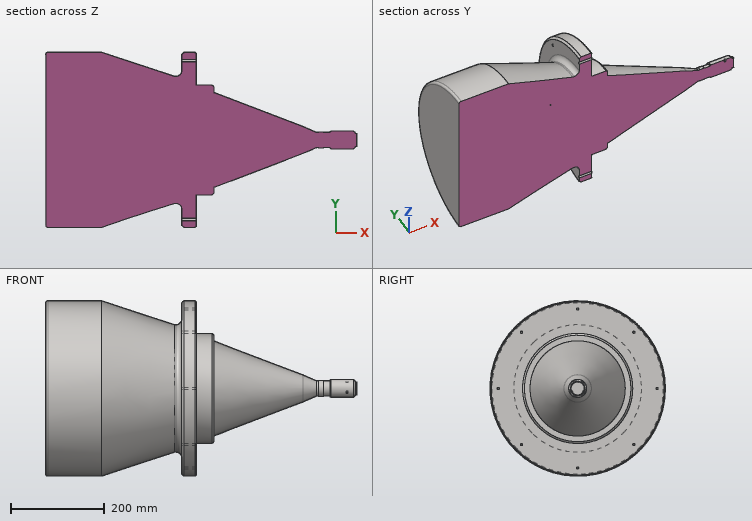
import cadquery as cq
import math

LENGTH = 666.5
DRUM_END = 120.0
TAPER_END = 276.0
NECK_END = 279.0
FLANGE_START = 291.0
FLANGE_END = 322.5
COLLAR_END = 360.5
CONE_BREAK = 550.5
CONE_END = 580.0
STEM_END = 608.5
TIP_START = 663.0

DRUM_RADIUS = 188.0
NECK_RADIUS = 136.5
COLLAR_RADIUS = 118.0
CONE_BASE_RADIUS = 102.0
CONE_BREAK_RADIUS = 29.0
STEM_RADIUS = 16.5
HEAD_RADIUS = 19.0
TIP_RADIUS = 14.0

DRUM_ROUND = 5.0
FLANGE_FRONT_CHAMFER = 4.5
FLANGE_BACK_CHAMFER = 2.5
COLLAR_CHAMFER = 4.0
HEAD_FRONT_CHAMFER = 2.0
HEAD_BACK_CHAMFER = 4.0

BAND_START = 584.5
BAND_END = 594.5
BAND_HEIGHT = 0.5

HOLE_COUNT = 8
HOLE_CIRCLE_RADIUS = 170.0
HOLE_DIAMETER = 4.5

HEAD_HOLE_COUNT = 3
HEAD_HOLE_X = 645.0
HEAD_HOLE_DIAMETER = 3.0
HEAD_HOLE_DEPTH = 6.5


def turned_body():
    """Solid of revolution about X, from the drum to the tip."""
    arc_factor = math.sqrt(0.5)
    drum_mid = DRUM_ROUND * (1 - arc_factor)
    fillet = FLANGE_START - NECK_END
    band_radius = STEM_RADIUS + BAND_HEIGHT
    return (
        cq.Workplane("XY")
        .lineTo(0, DRUM_RADIUS - DRUM_ROUND)
        .threePointArc((drum_mid, DRUM_RADIUS - drum_mid), (DRUM_ROUND, DRUM_RADIUS))
        .lineTo(DRUM_END, DRUM_RADIUS)
        .lineTo(TAPER_END, NECK_RADIUS)
        .lineTo(NECK_END, NECK_RADIUS)
        .threePointArc(
            (NECK_END + fillet * arc_factor, NECK_RADIUS + fillet * (1 - arc_factor)),
            (FLANGE_START, NECK_RADIUS + fillet),
        )
        .lineTo(FLANGE_START, DRUM_RADIUS - FLANGE_FRONT_CHAMFER)
        .lineTo(FLANGE_START + FLANGE_FRONT_CHAMFER, DRUM_RADIUS)
        .lineTo(FLANGE_END - FLANGE_BACK_CHAMFER, DRUM_RADIUS)
        .lineTo(FLANGE_END, DRUM_RADIUS - FLANGE_BACK_CHAMFER)
        .lineTo(FLANGE_END, COLLAR_RADIUS)
        .lineTo(COLLAR_END - COLLAR_CHAMFER, COLLAR_RADIUS)
        .lineTo(COLLAR_END, COLLAR_RADIUS - COLLAR_CHAMFER)
        .lineTo(COLLAR_END, CONE_BASE_RADIUS)
        .lineTo(CONE_BREAK, CONE_BREAK_RADIUS)
        .lineTo(CONE_END, STEM_RADIUS)
        .lineTo(BAND_START, STEM_RADIUS)
        .lineTo(BAND_START, band_radius)
        .lineTo(BAND_END, band_radius)
        .lineTo(BAND_END, STEM_RADIUS)
        .lineTo(STEM_END, STEM_RADIUS)
        .lineTo(STEM_END, HEAD_RADIUS - HEAD_FRONT_CHAMFER)
        .lineTo(STEM_END + HEAD_FRONT_CHAMFER, HEAD_RADIUS)
        .lineTo(TIP_START - HEAD_BACK_CHAMFER, HEAD_RADIUS)
        .lineTo(TIP_START, HEAD_RADIUS - HEAD_BACK_CHAMFER)
        .lineTo(TIP_START, TIP_RADIUS)
        .lineTo(LENGTH, TIP_RADIUS)
        .lineTo(LENGTH, 0)
        .close()
        .revolve(360, (0, 0, 0), (1, 0, 0))
    )


def flange_holes():
    """Ring of small through holes in the flange, one at the top."""
    return (
        cq.Workplane("YZ", origin=(FLANGE_START, 0, 0))
        .polarArray(HOLE_CIRCLE_RADIUS, 0, 360, HOLE_COUNT)
        .circle(HOLE_DIAMETER / 2)
        .extrude(FLANGE_END - FLANGE_START)
    )


def head_holes():
    """Blind radial holes evenly spaced round the head, one at the top."""
    hole = (
        cq.Workplane("XY", origin=(HEAD_HOLE_X, 0, HEAD_RADIUS - HEAD_HOLE_DEPTH))
        .circle(HEAD_HOLE_DIAMETER / 2)
        .extrude(2 * HEAD_HOLE_DEPTH)
    )
    holes = cq.Workplane("XY")
    for index in range(HEAD_HOLE_COUNT):
        angle = index * 360 / HEAD_HOLE_COUNT
        holes = holes.add(hole.rotate((0, 0, 0), (1, 0, 0), angle))
    return holes.combine()


result = turned_body().cut(flange_holes()).cut(head_holes())